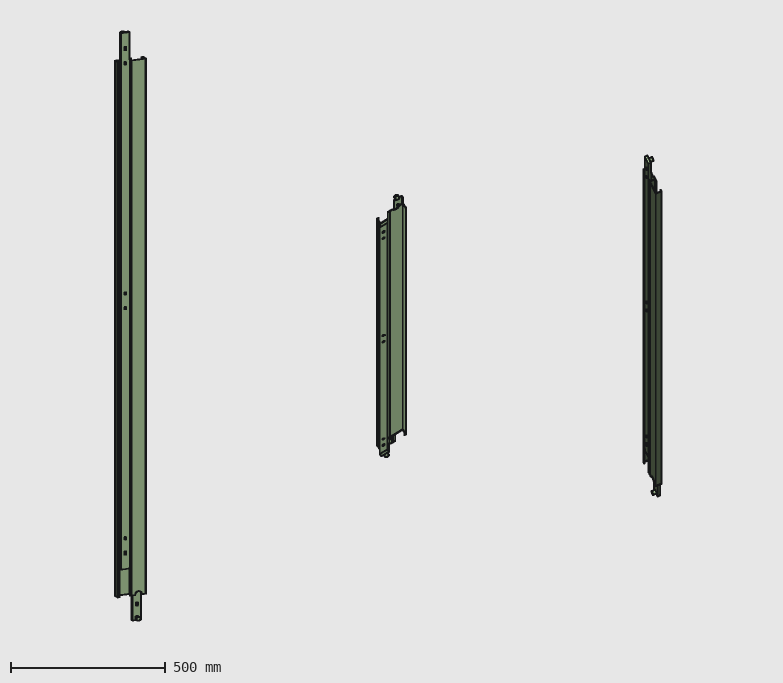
import cadquery as cq

DEPTH = 22.0
WIDTH = 100.0
TOTAL_LENGTH = 1980.0

MEMBER_LENGTH = 1795.0
MEMBER_CENTRE_Z = -4.0
SHEET = 2.0
CHANNEL_CENTRE = 24.0
MOUTH_TOP = 44.0
MOUTH_BOTTOM = 8.0
NOTCH_DIAMETER = 24.0

RAIL_LENGTH = 1800.0
RAIL_WIDTH = 30.0
RAIL_THICKNESS = 10.0

HOLE_DIAMETER = 8.0
HOLE_SPACING = 50.0
END_HOLE_INSET = 53.0
SLOT_LENGTH = 12.0

PIN_DIAMETER = 14.0

HALF_DEPTH = DEPTH / 2
HALF_WIDTH = WIDTH / 2
RAIL_CENTRE_Z = (RAIL_LENGTH - TOTAL_LENGTH) / 2


def block(x_range, y_range, length):
    """Box between two X and two Y limits, centred in Z."""
    (x0, x1), (y0, y1) = x_range, y_range
    return cq.Workplane("XY").box(x1 - x0, y1 - y0, length).translate(((x0 + x1) / 2, (y0 + y1) / 2, 0))


def rod_along_x(diameter, x0, x1, y, z):
    """Round rod parallel to X."""
    return cq.Workplane("YZ", origin=(x0, y, z)).circle(diameter / 2).extrude(x1 - x0)


def opposite(shape):
    """Counterpart in the other channel at the other end: point reflection through the origin."""
    return shape.rotate((0, 0, 0), (0, 0, 1), 180).mirror("XY")


def make_member():
    """S-shaped sheet, with a round notch in each web at the end that uncovers the rail behind it."""
    mouth_sheet = (-HALF_DEPTH, -HALF_DEPTH + SHEET)
    full_depth = (-HALF_DEPTH, HALF_DEPTH)

    divider = block(full_depth, (-SHEET / 2, SHEET / 2), MEMBER_LENGTH)
    side_wall = block(full_depth, (HALF_WIDTH - SHEET, HALF_WIDTH), MEMBER_LENGTH)
    outer_lip = block(mouth_sheet, (MOUTH_TOP, HALF_WIDTH), MEMBER_LENGTH)
    web_and_inner_lip = block(mouth_sheet, (-HALF_WIDTH, MOUTH_BOTTOM), MEMBER_LENGTH)
    notch = rod_along_x(
        NOTCH_DIAMETER, -HALF_DEPTH, -HALF_DEPTH + SHEET, -CHANNEL_CENTRE, MEMBER_LENGTH / 2
    )
    web_and_inner_lip = web_and_inner_lip.cut(notch)

    member = divider
    for piece in (side_wall, outer_lip, web_and_inner_lip):
        member = member.union(piece).union(opposite(piece))
    return member.translate((0, 0, MEMBER_CENTRE_Z))


def make_lower_rail():
    """Bar in the +Y channel, reaching below the member, with screw holes and a stop pin."""
    outer_face = -HALF_DEPTH
    inner_face = outer_face + RAIL_THICKNESS
    bottom = -TOTAL_LENGTH / 2
    rail = block(
        (outer_face, inner_face),
        (CHANNEL_CENTRE - RAIL_WIDTH / 2, CHANNEL_CENTRE + RAIL_WIDTH / 2),
        RAIL_LENGTH,
    ).translate((0, 0, RAIL_CENTRE_Z))

    mid_offset = HOLE_SPACING / 2
    end_slot_offset = RAIL_LENGTH / 2 - END_HOLE_INSET
    inner_hole_offset = end_slot_offset - HOLE_SPACING
    for offset in (mid_offset, inner_hole_offset):
        for side in (-1, 1):
            z = RAIL_CENTRE_Z + side * offset
            rail = rail.cut(rod_along_x(HOLE_DIAMETER, outer_face, inner_face, CHANNEL_CENTRE, z))

    for side in (-1, 1):
        z = RAIL_CENTRE_Z + side * end_slot_offset
        slot = (
            cq.Workplane("YZ", origin=(outer_face, CHANNEL_CENTRE, z))
            .slot2D(SLOT_LENGTH, HOLE_DIAMETER, 90)
            .extrude(RAIL_THICKNESS)
        )
        rail = rail.cut(slot)

    pin_z = bottom + PIN_DIAMETER / 2
    pin = rod_along_x(PIN_DIAMETER, inner_face, HALF_DEPTH, CHANNEL_CENTRE, pin_z)
    return rail.union(pin)


member = make_member()
lower_rail = make_lower_rail()
upper_rail = opposite(lower_rail)

result = cq.Compound.makeCompound([member.val(), lower_rail.val(), upper_rail.val()])